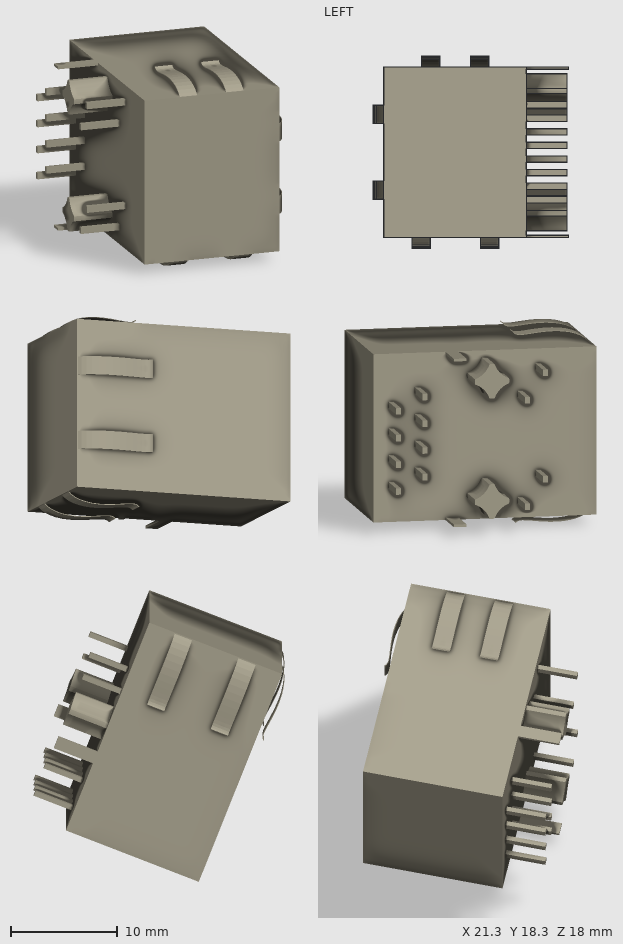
import cadquery as cq
import math


length = 21.3
depth = 13.36
height = 16.0
mating_x = length / 2

pin_width = 0.46
pin_height = 0.61
pin_length = 3.8
pitch = 2.54
contacts_per_row = 4
outer_row_x = -9.03
inner_row_x = outer_row_x + pitch
inner_row_top_z = 4.445
outer_row_top_z = inner_row_top_z - pitch / 2
led_outer_x = 5.0
led_inner_x = 3.29
led_outer_z = 6.33
led_inner_z = led_outer_z - pitch

post_x = -0.09
post_z = 5.715
post_radius = 1.65
post_length = pin_length
post_tip_half_width = 0.24
scoop_depth_radius = 1.1

tab_x = -3.17
tab_width = 1.2
tab_thickness = 0.25
tab_length = 3.94

spring_width = 1.73
spring_thickness = 0.07
spring_flats = 15
spring_curve = [(-0.14, -0.02), (-0.62, 0.66), (-2.93, 1.87), (-6.19, 0.49), (-6.78, 0.5), (-7.18, 0.97)]
top_spring_y = (4.38, 8.98)
bottom_spring_y = (3.46, 9.86)
back_spring_z = (-3.54, 3.54)


def block(x, y, z, size_x, size_y, size_z):
    """Box centred on (x, y, z)."""
    return cq.Workplane("XY").box(size_x, size_y, size_z).translate((x, y, z))


def board_leg(x, z, size_x, size_z, leg_length):
    """Rectangular leg that stands out of the board face."""
    return block(x, -leg_length / 2, z, size_x, leg_length, size_z)


def pin_positions():
    """(x, z) of every contact pin and LED pin."""
    positions = []
    for i in range(contacts_per_row):
        positions.append((inner_row_x, inner_row_top_z - i * pitch))
        positions.append((outer_row_x, outer_row_top_z - i * pitch))
    positions.append((led_outer_x, led_outer_z))
    positions.append((led_inner_x, led_inner_z))
    positions.append((led_inner_x, -led_outer_z))
    positions.append((led_outer_x, -led_inner_z))
    return positions


def locating_post(z):
    """Cylinder with four concave flanks, leaving four narrow tips along X and Z."""
    axis_plane = cq.Plane(origin=(post_x, 0, z), xDir=(0, 0, 1), normal=(0, -1, 0))
    post = cq.Workplane(axis_plane).circle(post_radius).extrude(post_length)

    tip_reach = math.sqrt(post_radius**2 - post_tip_half_width**2)
    corner_along_diagonal = (tip_reach + post_tip_half_width) / math.sqrt(2)
    half_chord = (tip_reach - post_tip_half_width) / math.sqrt(2)
    sagitta = corner_along_diagonal - scoop_depth_radius
    scoop_radius = (half_chord**2 + sagitta**2) / (2 * sagitta)
    scoop_offset = (scoop_depth_radius + scoop_radius) / math.sqrt(2)

    scoops = (
        cq.Workplane(axis_plane)
        .rect(2 * scoop_offset, 2 * scoop_offset, forConstruction=True)
        .vertices()
        .circle(scoop_radius)
        .extrude(post_length)
    )
    return post.cut(scoops)


def spring_point(t, side):
    """Point at parameter t, half a thickness to one side (+1 or -1) of the spring's mid-line."""
    degree = len(spring_curve) - 1
    along = rise = slope_along = slope_rise = 0
    for k, (control_along, control_rise) in enumerate(spring_curve):
        weight = math.comb(degree, k) * t**k * (1 - t) ** (degree - k)
        along += weight * control_along
        rise += weight * control_rise
    for k in range(degree):
        weight = math.comb(degree - 1, k) * t**k * (1 - t) ** (degree - 1 - k)
        slope_along += weight * (spring_curve[k + 1][0] - spring_curve[k][0])
        slope_rise += weight * (spring_curve[k + 1][1] - spring_curve[k][1])
    offset = side * spring_thickness / 2 / math.hypot(slope_along, slope_rise)
    return along + offset * slope_rise, rise - offset * slope_along


def spring(outward_angle):
    """Spring on the face whose outward direction is turned outward_angle about X from +Z.

    It is centred on the X axis, ready to be moved along its face.
    """
    parameters = [i / spring_flats for i in range(spring_flats + 1)]
    outer = [spring_point(t, 1) for t in parameters]
    inner = [spring_point(t, -1) for t in parameters]
    strip = cq.Workplane("XZ").polyline(outer + inner[::-1]).close().extrude(spring_width / 2, both=True)
    return strip.rotate((0, 0, 0), (1, 0, 0), outward_angle)


def springs():
    """All six springs, in place on the top, bottom and back faces."""
    placed = []
    for y in top_spring_y:
        placed.append(spring(0).translate((mating_x, y, height / 2)))
    for y in bottom_spring_y:
        placed.append(spring(180).translate((mating_x, y, -height / 2)))
    for z in back_spring_z:
        placed.append(spring(-90).translate((mating_x, depth, z)))
    return placed


result = block(0, depth / 2, 0, length, depth, height)
for pin_x, pin_z in pin_positions():
    result = result.union(board_leg(pin_x, pin_z, pin_width, pin_height, pin_length))
for side in (1, -1):
    result = result.union(locating_post(side * post_z))
    tab_z = side * (height - tab_thickness) / 2
    result = result.union(board_leg(tab_x, tab_z, tab_width, tab_thickness, tab_length))
for placed_spring in springs():
    result = result.union(placed_spring)